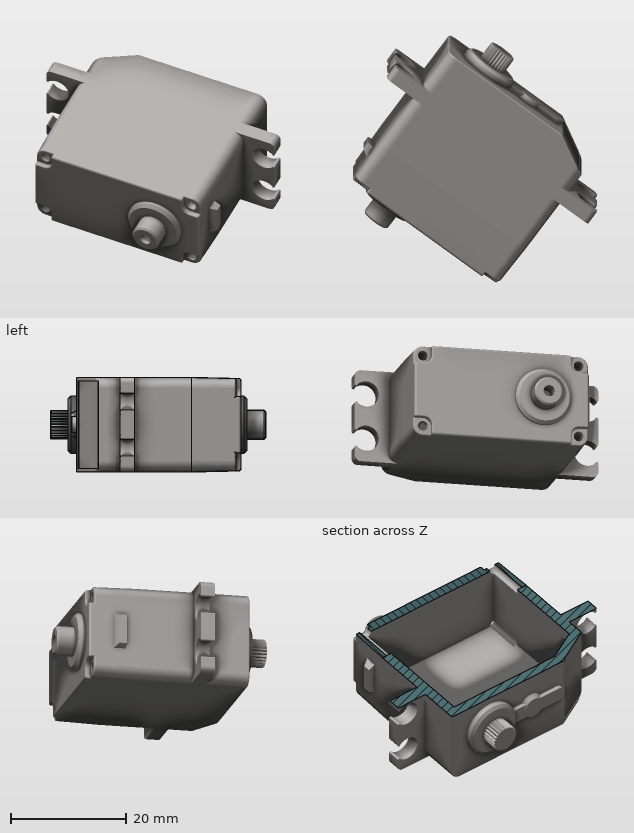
import cadquery as cq
import math

CASE_LENGTH = 31.5
CASE_WIDTH = 16.4
CASE_HEIGHT = 19.9
CORNER_RADIUS = 1.85
WALL = 2.0
SIDE_WALL = 1.82
CASE_EDGE_RADIUS = 0.2
CASE_LEFT = -CASE_LENGTH / 2
CASE_RIGHT = CASE_LENGTH / 2

SLOPE_START_X = -8.7
SLOPE_DROP = 4.0
SLOPE_RUN = SLOPE_START_X - CASE_LEFT
SLOPE_LENGTH = math.hypot(SLOPE_RUN, SLOPE_DROP)
SLOPE_ANGLE = math.degrees(math.atan2(SLOPE_DROP, SLOPE_RUN))
PANEL_MARGIN = 0.6
PANEL_DEPTH = 0.15

EAR_SPAN = 43.4
EAR_BOTTOM = 9.85
EAR_THICKNESS = 2.5
EAR_CORNER_RADIUS = 1.0
EAR_HOLE_RADIUS = 2.25
EAR_HOLE_X = 19.7
EAR_HOLE_Z = 4.0
EAR_LIP = 0.4
EAR_MOUTH_WIDTH = 2.85
EAR_MOUTH_RADIUS = 0.25

OUTPUT_X = 7.45
OUTPUT_BOSS_RADIUS = 5.0
OUTPUT_BOSS_HEIGHT = 1.48
OUTPUT_BOSS_CHAMFER = 0.5
SPLINE_RADIUS = 2.47
SPLINE_ROOT_RADIUS = 2.2
SPLINE_TEETH = 25
SPLINE_LENGTH = 3.0
SPLINE_CHAMFER = 0.15
RIDGE_LEFT = -8.4
RIDGE_RADIUS = 1.4
RIDGE_HEIGHT = 0.8
HUB_X = -1.5
HUB_BASE_RADIUS = 2.45
HUB_TOP_RADIUS = 1.95
HUB_HEIGHT = 0.9

COVER_HEIGHT = 8.6
COVER_LIP = 0.15
COVER_INSET = 0.195
COVER_DRAFT = math.degrees(math.atan2(COVER_INSET, COVER_HEIGHT - COVER_LIP))
COVER_EDGE_RADIUS = 0.45
SCREW_X = CASE_LENGTH / 2 - CORNER_RADIUS
SCREW_Z = CASE_WIDTH / 2 - CORNER_RADIUS
SCREW_RADIUS = 0.85
SEAT_RADIUS = 1.45
SEAT_DEPTH = 0.9
SEAT_EDGE_RADIUS = 0.25
SELECT_MARGIN = 0.005

PIVOT_X = 7.38
REAR_BOSS_RADIUS = 5.0
REAR_BOSS_HEIGHT = 1.05
REAR_BOSS_CHAMFER = 0.55
PIVOT_RADIUS = 2.5
PIVOT_LENGTH = 3.25
PIVOT_CHAMFER = 0.3
PIVOT_HOLE_RADIUS = 1.0

CABLE_TOP = -2.15
CABLE_TIP_BOTTOM = -3.5
CABLE_ROOT_BOTTOM = -4.3
CABLE_TIP_X = 16.9
CABLE_ROOT_X = CASE_RIGHT - COVER_INSET
CABLE_EMBED = 0.45
CABLE_ROOT_WIDTH = 6.42
CABLE_TIP_WIDTH = 5.05


def plane_up(y, x=0.0):
    """XZ sketch plane at height y, extruding toward +Y (its local y axis is -Z)."""
    return cq.Workplane(cq.Plane((x, y, 0), xDir=(1, 0, 0), normal=(0, 1, 0)))


def plane_down(y, x=0.0):
    """XZ sketch plane at height y, extruding toward -Y (its local y axis is +Z)."""
    return cq.Workplane(cq.Plane((x, y, 0), xDir=(1, 0, 0), normal=(0, -1, 0)))


def rounded_section(workplane):
    return workplane.sketch().rect(CASE_LENGTH, CASE_WIDTH).vertices().fillet(CORNER_RADIUS).finalize()


def case_shell():
    """Rounded block with one sloped end and softened edges around the gear end."""
    block = rounded_section(plane_up(0)).extrude(CASE_HEIGHT)
    wedge = (
        cq.Workplane("XY")
        .moveTo(SLOPE_START_X, CASE_HEIGHT)
        .lineTo(CASE_LEFT, CASE_HEIGHT - SLOPE_DROP)
        .lineTo(CASE_LEFT, CASE_HEIGHT)
        .close()
        .extrude(CASE_WIDTH / 2, both=True)
    )
    block = block.cut(wedge)
    flat_end = block.faces(">Y").edges("not |Z").vals()
    right_edge = block.faces(">Y").edges("|Z and >X").vals()
    slope_sides = slope_face(block).edges("not |Z").vals()
    return block.newObject(flat_end + right_edge + slope_sides).fillet(CASE_EDGE_RADIUS)


def slope_normal():
    angle = math.radians(SLOPE_ANGLE)
    return cq.Vector(-math.sin(angle), math.cos(angle), 0)


def slope_face(block):
    return block.faces(cq.selectors.ParallelDirSelector(slope_normal()))


def slope_panel():
    """Shallow rectangular recess in the sloped end."""
    middle = ((SLOPE_START_X + CASE_LEFT) / 2, CASE_HEIGHT - SLOPE_DROP / 2, 0)
    plane = cq.Plane(middle, xDir=(0, 0, 1), normal=slope_normal())
    width = CASE_WIDTH - 2 * PANEL_MARGIN
    length = SLOPE_LENGTH - 2 * PANEL_MARGIN
    return cq.Workplane(plane).rect(width, length).extrude(-PANEL_DEPTH)


def case_cavity():
    """Space inside the case, one wall thickness in from each outer face, open at the joint."""
    left = CASE_LEFT + WALL
    right = CASE_RIGHT - WALL
    top = CASE_HEIGHT - WALL
    slope = SLOPE_DROP / SLOPE_RUN
    drop_of_offset = WALL * SLOPE_LENGTH / SLOPE_RUN
    left_top = CASE_HEIGHT - SLOPE_DROP - drop_of_offset + slope * WALL
    bend_x = left + (top - left_top) / slope
    return (
        cq.Workplane("XY")
        .polyline([(left, 0), (right, 0), (right, top), (bend_x, top), (left, left_top)])
        .close()
        .extrude(CASE_WIDTH / 2 - SIDE_WALL, both=True)
    )


def ears():
    plate = (
        plane_up(EAR_BOTTOM)
        .rect(EAR_SPAN, CASE_WIDTH)
        .extrude(EAR_THICKNESS)
        .edges("|Y")
        .fillet(EAR_CORNER_RADIUS)
    )
    inside_lips = plane_up(EAR_BOTTOM).rect(EAR_SPAN - 2 * EAR_LIP, CASE_WIDTH).extrude(EAR_THICKNESS)
    mouth_length = EAR_SPAN / 2 - EAR_HOLE_X
    for side in (-1, 1):
        for z in (-EAR_HOLE_Z, EAR_HOLE_Z):
            round_hole = plane_up(EAR_BOTTOM).center(side * EAR_HOLE_X, z).circle(EAR_HOLE_RADIUS)
            mouth = plane_up(EAR_BOTTOM).center(side * (EAR_HOLE_X + mouth_length / 2), z)
            plate = plate.cut(round_hole.extrude(EAR_THICKNESS).intersect(inside_lips))
            plate = plate.cut(mouth.rect(mouth_length, EAR_MOUTH_WIDTH).extrude(EAR_THICKNESS))
    inner_z = EAR_HOLE_Z + EAR_MOUTH_WIDTH
    ear_tips = cq.selectors.BoxSelector((-EAR_SPAN, 0, -inner_z), (EAR_SPAN, CASE_HEIGHT, inner_z))
    return plate.faces("<X or >X").edges("|Y").edges(ear_tips).fillet(EAR_MOUTH_RADIUS)


def gear_ridge():
    """Low round-ended ridge with a conical hub, leading to the output boss."""
    start = RIDGE_LEFT + RIDGE_RADIUS
    length = OUTPUT_X - start
    bar = (
        plane_up(CASE_HEIGHT, start + length / 2)
        .slot2D(length + 2 * RIDGE_RADIUS, 2 * RIDGE_RADIUS)
        .extrude(RIDGE_HEIGHT)
    )
    hub = (
        plane_up(CASE_HEIGHT, HUB_X)
        .circle(HUB_BASE_RADIUS)
        .workplane(offset=HUB_HEIGHT)
        .circle(HUB_TOP_RADIUS)
        .loft()
    )
    return bar.union(hub)


def output_spline(base):
    """Toothed shaft end with pointed teeth and a chamfered tip."""
    pitch = 2 * math.pi / SPLINE_TEETH
    points = []
    for tooth in range(SPLINE_TEETH):
        tip_angle = tooth * pitch
        root_angle = tip_angle + pitch / 2
        points.append((SPLINE_RADIUS * math.cos(tip_angle), SPLINE_RADIUS * math.sin(tip_angle)))
        points.append((SPLINE_ROOT_RADIUS * math.cos(root_angle), SPLINE_ROOT_RADIUS * math.sin(root_angle)))
    teeth = plane_up(base, OUTPUT_X).polyline(points).close().extrude(SPLINE_LENGTH)
    envelope = (
        plane_up(base, OUTPUT_X)
        .circle(SPLINE_RADIUS)
        .extrude(SPLINE_LENGTH)
        .faces(">Y")
        .chamfer(SPLINE_CHAMFER)
    )
    return teeth.intersect(envelope)


def output_end():
    boss = (
        plane_up(CASE_HEIGHT, OUTPUT_X)
        .circle(OUTPUT_BOSS_RADIUS)
        .extrude(OUTPUT_BOSS_HEIGHT)
        .faces(">Y")
        .chamfer(OUTPUT_BOSS_CHAMFER)
    )
    return boss.union(output_spline(CASE_HEIGHT + OUTPUT_BOSS_HEIGHT))


def make_case():
    body = case_shell().cut(slope_panel()).union(ears()).cut(case_cavity())
    return body.union(gear_ridge()).union(output_end())


def screw_seat(side_x, side_z):
    """Corner recess around a screw hole: round toward the middle, open toward the corner."""
    reach_x = side_x * 2 * CORNER_RADIUS
    reach_z = side_z * 2 * CORNER_RADIUS
    inner_x = -side_x * SEAT_RADIUS
    inner_z = -side_z * SEAT_RADIUS
    diagonal = math.sqrt(0.5)
    return (
        plane_down(SEAT_DEPTH - COVER_HEIGHT)
        .center(side_x * SCREW_X, side_z * SCREW_Z)
        .moveTo(inner_x, 0)
        .threePointArc((inner_x * diagonal, inner_z * diagonal), (0, inner_z))
        .lineTo(reach_x, inner_z)
        .lineTo(reach_x, reach_z)
        .lineTo(inner_x, reach_z)
        .close()
        .extrude(SEAT_DEPTH)
    )


def seat_rim_arcs(block):
    """Wall-top arc and outer floor arc of each seat; the rest of the rim is tangent to them."""
    wall_tops = block.faces("<Y").edges("%CIRCLE").vals()
    floor_y = SEAT_DEPTH - COVER_HEIGHT
    slab = cq.selectors.BoxSelector(
        (-CASE_LENGTH, floor_y - SELECT_MARGIN, -CASE_WIDTH),
        (CASE_LENGTH, floor_y + SELECT_MARGIN, CASE_WIDTH),
    )
    outermost = cq.selectors.RadiusNthSelector(-1)
    floor_corners = block.faces(slab).edges("%CIRCLE").edges(outermost).vals()
    return wall_tops + floor_corners


def cover_block():
    """Cover with drafted sides, rounded edges and four screw seats in its corners."""
    lip = rounded_section(plane_down(0)).extrude(COVER_LIP)
    drafted = rounded_section(plane_down(-COVER_LIP)).extrude(
        COVER_HEIGHT - COVER_LIP, taper=COVER_DRAFT
    )
    block = lip.union(drafted).faces("<Y").edges().fillet(COVER_EDGE_RADIUS)
    for side_x in (-1, 1):
        for side_z in (-1, 1):
            block = block.cut(screw_seat(side_x, side_z))
    return block.newObject(seat_rim_arcs(block)).fillet(SEAT_EDGE_RADIUS)


def screw_holes():
    spots = [(x, z) for x in (-SCREW_X, SCREW_X) for z in (-SCREW_Z, SCREW_Z)]
    return plane_down(0).pushPoints(spots).circle(SCREW_RADIUS).extrude(COVER_HEIGHT)


def cover_cavity():
    """Space inside the cover, open at the joint and as wide as the space in the case."""
    length = CASE_LENGTH - 2 * WALL
    width = CASE_WIDTH - 2 * SIDE_WALL
    return plane_down(0).rect(length, width).extrude(COVER_HEIGHT - WALL)


def rear_pivot():
    boss = (
        plane_down(-COVER_HEIGHT, PIVOT_X)
        .circle(REAR_BOSS_RADIUS)
        .extrude(REAR_BOSS_HEIGHT)
        .faces("<Y")
        .chamfer(REAR_BOSS_CHAMFER)
    )
    pin = (
        plane_down(-COVER_HEIGHT - REAR_BOSS_HEIGHT, PIVOT_X)
        .circle(PIVOT_RADIUS)
        .extrude(PIVOT_LENGTH)
        .faces("<Y")
        .chamfer(PIVOT_CHAMFER)
    )
    bore = (
        plane_down(-COVER_HEIGHT - REAR_BOSS_HEIGHT, PIVOT_X)
        .circle(PIVOT_HOLE_RADIUS)
        .extrude(PIVOT_LENGTH)
    )
    return boss.union(pin).cut(bore)


def cable_exit():
    """Tab that narrows outward in width and has a beveled lower edge."""
    inner_x = CABLE_ROOT_X - CABLE_EMBED
    profile = (
        cq.Workplane("XY")
        .polyline([
            (inner_x, CABLE_TOP),
            (CABLE_TIP_X, CABLE_TOP),
            (CABLE_TIP_X, CABLE_TIP_BOTTOM),
            (CABLE_ROOT_X, CABLE_ROOT_BOTTOM),
            (inner_x, CABLE_ROOT_BOTTOM),
        ])
        .close()
        .extrude(CABLE_ROOT_WIDTH / 2, both=True)
    )
    outline = (
        plane_down(CABLE_TOP)
        .polyline([
            (inner_x, CABLE_ROOT_WIDTH / 2),
            (CABLE_ROOT_X, CABLE_ROOT_WIDTH / 2),
            (CABLE_TIP_X, CABLE_TIP_WIDTH / 2),
            (CABLE_TIP_X, -CABLE_TIP_WIDTH / 2),
            (CABLE_ROOT_X, -CABLE_ROOT_WIDTH / 2),
            (inner_x, -CABLE_ROOT_WIDTH / 2),
        ])
        .close()
        .extrude(CABLE_TOP - CABLE_ROOT_BOTTOM)
    )
    return profile.intersect(outline)


def make_cover():
    body = cover_block().cut(cover_cavity()).cut(screw_holes())
    return body.union(rear_pivot()).union(cable_exit())


case = make_case()
cover = make_cover()
result = cq.Compound.makeCompound([case.solids().val(), cover.solids().val()])